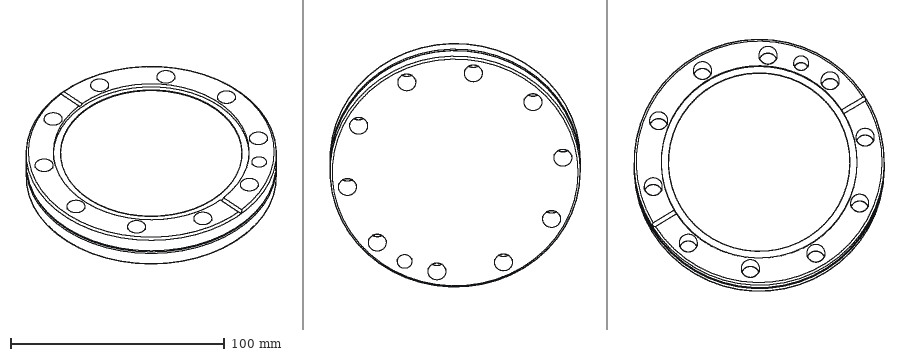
import cadquery as cq
import math

outer_diameter = 117.4
thickness = 17.5
rim_chamfer = 1.0
outer_radius = outer_diameter / 2

rim_groove_low = 7.9
rim_groove_bottom = 8.6
rim_groove_high = 9.6
rim_groove_depth = 0.4

recess_radius = 45.9
recess_depth = 2.0
knife_radius = 42.6
knife_slope_degrees = 20.0
knife_inner_drop = 0.4
knife_inner_width = 0.1

bolt_count = 10
bolt_circle_radius = 51.1
bolt_hole_diameter = 8.5
extra_hole_diameter = 6.9
bolt_pitch_degrees = 360.0 / bolt_count
extra_hole_degrees = 1.5 * bolt_pitch_degrees

leak_groove_width = 2.1
leak_groove_depth = 0.7
leak_groove_inner_end = 44.6
leak_groove_degrees = bolt_pitch_degrees / 2


def flange_body():
    """Revolve the half section of the flange."""
    recess_floor = thickness - recess_depth
    slope_rise = (recess_radius - knife_radius) * math.tan(math.radians(knife_slope_degrees))
    knife_tip = recess_floor + slope_rise
    return (
        cq.Workplane("XZ")
        .moveTo(0, 0)
        .lineTo(outer_radius - rim_chamfer, 0)
        .lineTo(outer_radius, rim_chamfer)
        .lineTo(outer_radius, rim_groove_low)
        .lineTo(outer_radius - rim_groove_depth, rim_groove_bottom)
        .lineTo(outer_radius, rim_groove_high)
        .lineTo(outer_radius, thickness - rim_chamfer)
        .lineTo(outer_radius - rim_chamfer, thickness)
        .lineTo(recess_radius, thickness)
        .lineTo(recess_radius, recess_floor)
        .lineTo(knife_radius, knife_tip)
        .lineTo(knife_radius - knife_inner_width, knife_tip - knife_inner_drop)
        .lineTo(0, knife_tip - knife_inner_drop)
        .close()
        .revolve(360, (0, 0, 0), (0, 1, 0))
    )


def ring_holes(diameter, count, start_degrees):
    """Cylinders through the flange, spaced evenly on the bolt circle."""
    return (
        cq.Workplane("XY")
        .polarArray(bolt_circle_radius, start_degrees, 360, count)
        .circle(diameter / 2)
        .extrude(thickness)
    )


def leak_groove(angle_degrees):
    """Radial groove with an arc-shaped section, from the recess to the rim."""
    half_width = leak_groove_width / 2
    return (
        cq.Workplane("YZ", origin=(leak_groove_inner_end, 0, thickness))
        .moveTo(-half_width, 0)
        .threePointArc((0, -leak_groove_depth), (half_width, 0))
        .close()
        .extrude(outer_radius - leak_groove_inner_end)
        .rotate((0, 0, 0), (0, 0, 1), angle_degrees)
    )


result = flange_body()
result = result.cut(ring_holes(bolt_hole_diameter, bolt_count, 0))
result = result.cut(ring_holes(extra_hole_diameter, 1, extra_hole_degrees))
for half_turn in (0, 180):
    result = result.cut(leak_groove(leak_groove_degrees + half_turn))